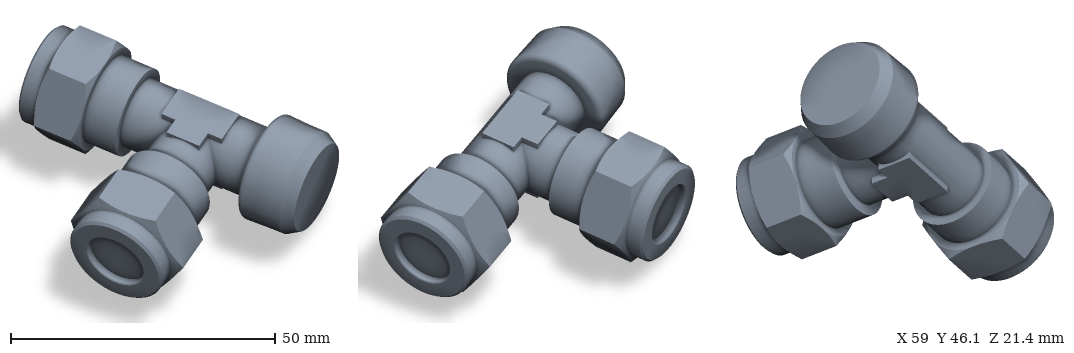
import cadquery as cq
import math

tube_radius = 7.0
collar_radius = 8.95
run_collar_start = 13.5
branch_collar_start = 12.4
branch_shoulder_length = 0.4
branch_shoulder_radius = 7.5

nut_across_flats = 21.0
nut_start = 20.5
nut_hex_end = 30.5
nut_end = 34.0
nut_ring_radius = 9.9
nut_ring_chamfer = 0.5
nut_chamfer_slope = math.tan(math.radians(30))
nut_corner_radius = nut_across_flats / math.sqrt(3)
recess_radius = 6.0
recess_depth = 1.5
recess_lip_chamfer = 0.2

cap_start = run_collar_start
cap_end = 25.0
cap_inner_end_radius = 10.72
cap_bevel_start_radius = 10.45
cap_edge_fillet = 1.1
cap_bevel_length = 2.4
cap_bevel_radius = 9.0

pad_height = 7.5
pad_bar_length = 13.0
pad_bar_width = 7.0
pad_stem_width = 7.0
pad_stem_end = 7.0


def turned(profile_points):
    """Solid of revolution about X from (axial position, radius) points."""
    return cq.Workplane("XY").polyline(profile_points).close().revolve(360, (0, 0, 0), (1, 0, 0))


def cylinder(start, end, radius):
    """Cylinder on the X axis between two axial positions."""
    return cq.Workplane("YZ").workplane(offset=start).circle(radius).extrude(end - start)


def nut():
    """Hexagonal nut on +X with both ends chamfered, an outer ring and an open mouth."""
    hex_length = nut_hex_end - nut_start
    hex_outline = cq.Workplane("YZ").workplane(offset=nut_start).polygon(6, 2 * nut_corner_radius)
    hexagon = hex_outline.extrude(hex_length)
    inner_chamfer_length = (nut_corner_radius - nut_across_flats / 2) * nut_chamfer_slope
    outer_chamfer_length = (nut_corner_radius - nut_ring_radius) * nut_chamfer_slope
    chamfer_envelope = turned([
        (nut_start, 0),
        (nut_start, nut_across_flats / 2),
        (nut_start + inner_chamfer_length, nut_corner_radius),
        (nut_hex_end - outer_chamfer_length, nut_corner_radius),
        (nut_hex_end, nut_ring_radius),
        (nut_hex_end, 0),
    ])
    ring = cylinder(nut_hex_end, nut_end, nut_ring_radius).faces(">X").edges().chamfer(nut_ring_chamfer)
    recess = turned([
        (nut_end - recess_depth, 0),
        (nut_end - recess_depth, recess_radius),
        (nut_end - recess_lip_chamfer, recess_radius),
        (nut_end, recess_radius + recess_lip_chamfer),
        (nut_end, 0),
    ])
    return hexagon.intersect(chamfer_envelope).union(ring).cut(recess)


def run_arm():
    """Nut and plain collar, facing -X."""
    collar = cylinder(run_collar_start, nut_start, collar_radius)
    return nut().union(collar).rotate((0, 0, 0), (0, 0, 1), 180)


def branch_arm():
    """Nut and collar with a tapered shoulder, facing -Y."""
    collar = turned([
        (branch_collar_start, 0),
        (branch_collar_start, branch_shoulder_radius),
        (branch_collar_start + branch_shoulder_length, collar_radius),
        (nut_start, collar_radius),
        (nut_start, 0),
    ])
    return nut().union(collar).rotate((0, 0, 0), (0, 0, 1), -90)


def tubes():
    """Run and branch barrels of the tee."""
    run = cylinder(-run_collar_start, cap_start, tube_radius)
    branch = cylinder(0, branch_collar_start, tube_radius).rotate((0, 0, 0), (0, 0, 1), -90)
    return run.union(branch)


def cap():
    """Slightly tapered cap with a rounded inner edge and a bevelled outer edge."""
    body = turned([
        (cap_start, 0),
        (cap_start, cap_inner_end_radius),
        (cap_end - cap_bevel_length, cap_bevel_start_radius),
        (cap_end, cap_bevel_radius),
        (cap_end, 0),
    ])
    return body.faces("<X").edges().fillet(cap_edge_fillet)


def pads():
    """T-shaped blocks passing through the tee centre from bottom to top."""
    bar = cq.Workplane("XY").box(pad_bar_length, pad_bar_width, 2 * pad_height)
    stem = cq.Workplane("XY").box(pad_stem_width, pad_stem_end, 2 * pad_height)
    return bar.union(stem.translate((0, -pad_stem_end / 2, 0)))


result = tubes().union(pads()).union(run_arm()).union(branch_arm()).union(cap())